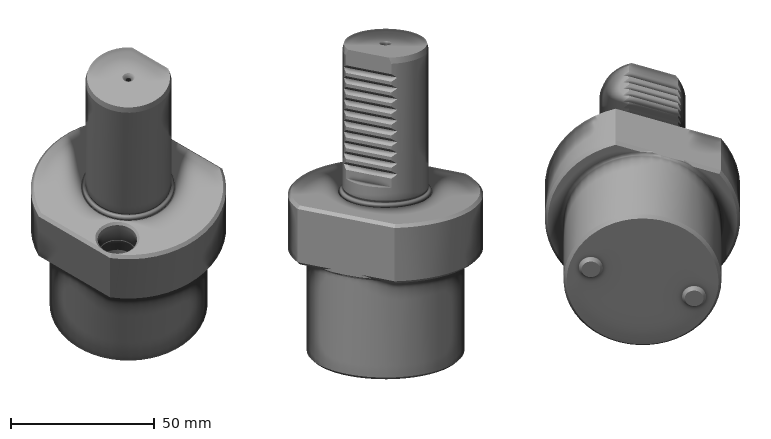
import cadquery as cq
import math

total_height = 116.5
pad_height = 1.5
flange_top = 61.5
flange_thickness = 21.9
flange_bottom = flange_top - flange_thickness

body_radius = 27.5
body_flare = 1.0
edge_chamfer = 1.0

flange_radius = 34.0
front_flat_y = -30.0
back_flat_y = 28.0

shank_radius = 15.0
shank_chamfer_length = 2.1
shank_chamfer_angle = 15

rack_flat_y = 12.0
rack_flat_length = 48.0
first_notch_depth = 7.3
last_notch_depth = 43.3
notch_count = 10
notch_size = 1.4

ring_radius = 15.0
ring_section_radius = 1.0
ring_lift = 0.2
ring_seat_radius = 16.5
ring_seat_depth = 0.9

relief_depth = 0.2
relief_taper_length = 0.7
relief_top = 2.1

side_hole_x = 12.5
side_hole_y = -21.7
side_hole_radius = 6.9
side_hole_chamfer = 0.8
side_hole_step_depth = 8.2
side_hole_lower_radius = 6.5
side_hole_depth = 12.8
drill_tip_angle = 118

centre_mouth_radius = 2.1
centre_bore_radius = 0.9
centre_bore_depth = 3.5

pad_offset = 19.0
pad_radius = 4.2
pad_chamfer = 0.9


def cylinder(radius, bottom, top):
    return cq.Workplane("XY").workplane(offset=bottom).circle(radius).extrude(top - bottom)


def revolve_profile(profile):
    """Turn a closed XZ profile around the Z axis."""
    return profile.close().revolve(360, (0, 0, 0), (0, 1, 0))


def make_flange():
    disc = cylinder(flange_radius, flange_bottom, flange_top)
    between_flats = (
        cq.Workplane("XY")
        .workplane(offset=flange_bottom)
        .center(0, (front_flat_y + back_flat_y) / 2)
        .rect(2 * flange_radius, back_flat_y - front_flat_y)
        .extrude(flange_thickness)
    )
    return disc.intersect(between_flats).faces("<Z or >Z").edges().chamfer(edge_chamfer)


def make_body():
    body = cylinder(body_radius, pad_height, flange_bottom + edge_chamfer)
    return body.faces("<Z").edges().chamfer(edge_chamfer)


def make_flare():
    """Concave blend from body to flange, trimmed level with the back flat."""
    flare = revolve_profile(
        cq.Workplane("XZ")
        .moveTo(0, flange_bottom - body_flare)
        .lineTo(body_radius, flange_bottom - body_flare)
        .radiusArc((body_radius + body_flare, flange_bottom), body_flare)
        .lineTo(body_radius + body_flare, flange_bottom + edge_chamfer)
        .lineTo(0, flange_bottom + edge_chamfer)
    )
    trim = (
        cq.Workplane("XY")
        .workplane(offset=flange_bottom - body_flare)
        .center(0, back_flat_y - flange_radius)
        .rect(2 * flange_radius, 2 * flange_radius)
        .extrude(flange_thickness)
    )
    return flare.intersect(trim)


def make_shank():
    tip_radius = shank_radius - shank_chamfer_length * math.tan(math.radians(shank_chamfer_angle))
    foot_radius = shank_radius - relief_depth
    relief_z = flange_top + relief_top
    return revolve_profile(
        cq.Workplane("XZ")
        .moveTo(0, flange_bottom)
        .lineTo(foot_radius, flange_bottom)
        .lineTo(foot_radius, relief_z - relief_taper_length)
        .lineTo(shank_radius, relief_z)
        .lineTo(shank_radius, total_height - shank_chamfer_length)
        .lineTo(tip_radius, total_height)
        .lineTo(0, total_height)
    )


def make_rack_cut():
    """Material removed behind the shank flat, including the 90 degree notches."""
    cut_width = 2 * shank_radius
    flat_middle_z = total_height - rack_flat_length / 2
    cut = cq.Workplane("XY").box(cut_width, shank_radius, rack_flat_length)
    cut = cut.translate((0, rack_flat_y + shank_radius / 2, flat_middle_z))
    pitch = (last_notch_depth - first_notch_depth) / (notch_count - 1)
    for index in range(notch_count):
        notch_z = total_height - first_notch_depth - index * pitch
        notch = (
            cq.Workplane("YZ")
            .workplane(offset=-cut_width / 2)
            .moveTo(rack_flat_y - notch_size, notch_z)
            .lineTo(rack_flat_y + notch_size, notch_z + 2 * notch_size)
            .lineTo(rack_flat_y + notch_size, notch_z - 2 * notch_size)
            .close()
            .extrude(cut_width)
        )
        cut = cut.union(notch)
    return cut


def make_ring_seat():
    """Recess in the flange top that narrows at 45 degrees towards the shank."""
    seat_floor_z = flange_top - ring_seat_depth
    return revolve_profile(
        cq.Workplane("XZ")
        .moveTo(0, seat_floor_z)
        .lineTo(ring_seat_radius - ring_seat_depth, seat_floor_z)
        .lineTo(ring_seat_radius, flange_top)
        .lineTo(0, flange_top)
    )


def make_ring():
    return (
        cq.Workplane("XZ")
        .center(ring_radius, flange_top + ring_lift)
        .circle(ring_section_radius)
        .revolve(360, (-ring_radius, 0, 0), (-ring_radius, 1, 0))
    )


def make_side_hole():
    """Chamfered, slightly stepped blind hole with a conical drill-tip floor."""
    floor_z = flange_top - side_hole_depth
    step_z = flange_top - side_hole_step_depth
    tip_z = floor_z - side_hole_lower_radius / math.tan(math.radians(drill_tip_angle / 2))
    hole = revolve_profile(
        cq.Workplane("XZ")
        .moveTo(0, tip_z)
        .lineTo(side_hole_lower_radius, floor_z)
        .lineTo(side_hole_lower_radius, step_z)
        .lineTo(side_hole_radius, step_z)
        .lineTo(side_hole_radius, flange_top - side_hole_chamfer)
        .lineTo(side_hole_radius + side_hole_chamfer, flange_top)
        .lineTo(0, flange_top)
    )
    return hole.translate((side_hole_x, side_hole_y, 0))


def make_centre_hole():
    """Narrow bore with a 90 degree countersunk mouth."""
    mouth_depth = centre_mouth_radius - centre_bore_radius
    return revolve_profile(
        cq.Workplane("XZ")
        .moveTo(0, total_height - centre_bore_depth)
        .lineTo(centre_bore_radius, total_height - centre_bore_depth)
        .lineTo(centre_bore_radius, total_height - mouth_depth)
        .lineTo(centre_mouth_radius, total_height)
        .lineTo(0, total_height)
    )


def make_pads():
    pads = (
        cq.Workplane("XY")
        .pushPoints([(-pad_offset, 0), (pad_offset, 0)])
        .circle(pad_radius)
        .extrude(2 * pad_height)
    )
    return pads.faces("<Z").edges().chamfer(pad_chamfer)


flange = make_flange().cut(make_ring_seat()).cut(make_side_hole())
shank = make_shank().cut(make_rack_cut()).cut(make_centre_hole())
result = flange.union(make_body()).union(make_flare()).union(make_pads())
result = result.union(shank).union(make_ring())